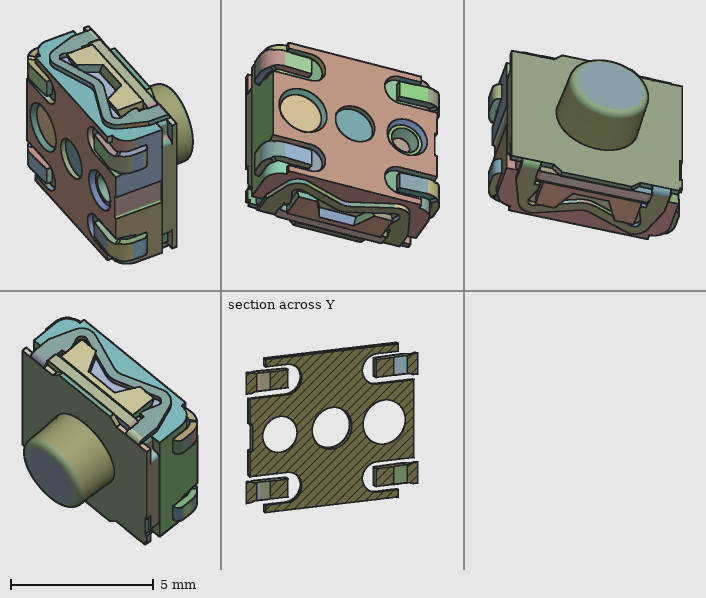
import cadquery as cq
import math


housing_half_x = 3.135
housing_half_z = 2.8
housing_back_y = 1.885
rim_half_x = 2.535
notch_depth = 0.09
notch_half_z = 0.49
notch_radius = 0.055

terminal_center_z = 1.99
terminal_outer_x = 3.4
terminal_thickness = terminal_outer_x - housing_half_x
terminal_root_y = 1.225
terminal_standoff = 0.1
terminal_bend_radius = 0.665
tab_end_x = 1.68
tab_rise = 0.06
terminal_half_width = 0.39
tab_half_width = 0.33
neck_start = 0.015
neck_end = 0.13
pocket_center_x = 1.715
pocket_center_z = 1.97
pocket_radius = 0.58
pocket_depth = 0.2
pocket_draft = 10.3

recess_depth = pocket_depth
locator_x = 1.99
left_recess_radius = 0.91
right_recess_radius = 0.76
center_recess_radius = 0.75
recess_narrowing = 0.12
locator_hole_radius = 0.51
locator_hole_floor_radius = 0.355
locator_hole_depth = 0.41

frame_half_x = 3.11
frame_back_y = 2.29
frame_relief_z = 1.94
frame_arc_radius = 0.155
frame_block_half_x = 2.08
frame_block_half_z = 3.09
frame_block_radius = 0.135

sheet = 0.19
cover_back_y = frame_back_y + sheet
lip_half_z = 3.115
lip_half_x = 1.27
side_cut_depth = 0.095
side_cut_start_z = 1.205
side_tab_start_z = 2.19
side_tab_end_z = 2.65
clip_half_x = 2.705
clip_shoulder_y = 1.58
clip_slope = 20
clip_inner_half_x = 2.03
clip_step_half_x = 1.84
clip_step_y = 1.38
clip_lower_apex_y = 0.9
clip_upper_apex_y = 1.26
clip_lower_apex_radius = 0.545
clip_upper_apex_radius = 0.85
clip_outer_elbow_radius = 0.545
clip_inner_elbow_radius = 0.205
clip_bend_radius = 0.24
clip_root = 0.07

hook_half_x = 1.795
hook_half_z = 3.15
hook_tip_y = 0.83
hook_root_y = 0.945
hook_window_y = 1.645
hook_window_root_y = 1.545
hook_window_half_x = 0.65
hook_mouth_half_x = 1.095

button_end_y = 4.195
button_base_radius = 1.49
button_end_radius = 1.435
button_round = 0.24

clearance = 0.34


def side_mirrored(shape):
    """Shape plus its copy on the other side in X."""
    return shape.union(shape.mirror("YZ"))


def end_mirrored(shape):
    """Shape plus its copy at the other end in Z."""
    return shape.union(shape.mirror("XY"))


def box_between(x0, x1, y0, y1, z0, z1):
    return cq.Workplane("XY").box(x1 - x0, y1 - y0, z1 - z0, centered=False).translate((x0, y0, z0))


def tapered_disc(x, start_y, depth, start_radius, end_radius):
    """Round frustum along +Y on the line z = 0."""
    taper = math.degrees(math.atan2(start_radius - end_radius, depth))
    plane = cq.Workplane("ZX", origin=(x, start_y, 0))
    return plane.circle(start_radius).extrude(depth, taper=taper)


def terminal_pocket():
    """Drafted slot around one terminal that follows the rounded housing corner."""
    end_x = terminal_outer_x + 2 * clearance
    corner_radius = housing_half_x - rim_half_x
    corner_y = pocket_depth + corner_radius
    slot = (
        cq.Workplane("ZX")
        .moveTo(pocket_center_z - pocket_radius, -end_x)
        .lineTo(pocket_center_z - pocket_radius, -pocket_center_x)
        .threePointArc(
            (pocket_center_z, pocket_radius - pocket_center_x),
            (pocket_center_z + pocket_radius, -pocket_center_x),
        )
        .lineTo(pocket_center_z + pocket_radius, -end_x)
        .close()
        .extrude(corner_y, taper=pocket_draft)
    )
    corner = box_between(-end_x, -rim_half_x, 0, corner_y, pocket_center_z, housing_half_z + clearance)
    diagonal = corner_radius * math.sqrt(0.5)
    depth_limit = (
        cq.Workplane("XY")
        .lineTo(0, pocket_depth)
        .lineTo(-rim_half_x, pocket_depth)
        .threePointArc((-rim_half_x - diagonal, corner_y - diagonal), (-housing_half_x, corner_y))
        .lineTo(-end_x, corner_y)
        .lineTo(-end_x, 0)
        .close()
        .extrude(housing_half_z + clearance)
    )
    return slot.union(corner).intersect(depth_limit)


def side_notch():
    """Shallow rounded notch through the right side of the housing."""
    return box_between(
        housing_half_x - notch_depth, housing_half_x + clearance,
        -clearance, housing_back_y,
        -notch_half_z, notch_half_z,
    ).edges("|Y and <X").fillet(notch_radius)


def make_housing():
    body = box_between(
        -housing_half_x, housing_half_x, 0, housing_back_y, -housing_half_z, housing_half_z
    )
    body = body.cut(end_mirrored(side_mirrored(terminal_pocket())))
    body = body.cut(tapered_disc(
        -locator_x, 0, recess_depth, left_recess_radius, left_recess_radius - recess_narrowing))
    body = body.cut(tapered_disc(
        locator_x, 0, recess_depth, right_recess_radius, right_recess_radius - recess_narrowing))
    body = body.cut(tapered_disc(
        locator_x, recess_depth, locator_hole_depth, locator_hole_radius, locator_hole_floor_radius))
    body = body.cut(tapered_disc(0, 0, recess_depth, center_recess_radius, center_recess_radius))
    return body.cut(side_notch())


def make_terminal():
    """Strip leaving the left side, bent around the corner and folded under the housing."""
    inner_radius = terminal_bend_radius - terminal_thickness
    bend_x = -terminal_outer_x + terminal_bend_radius
    bend_y = terminal_bend_radius - terminal_standoff
    diagonal = math.sqrt(0.5)
    root_drop = terminal_thickness * (1 - diagonal)
    tab_y = -terminal_standoff
    strip = (
        cq.Workplane("XY")
        .moveTo(-housing_half_x, terminal_root_y)
        .threePointArc(
            (-terminal_outer_x + root_drop, terminal_root_y - root_drop),
            (-terminal_outer_x, terminal_root_y - terminal_thickness),
        )
        .lineTo(-terminal_outer_x, bend_y)
        .threePointArc(
            (bend_x - terminal_bend_radius * diagonal, bend_y - terminal_bend_radius * diagonal),
            (bend_x, tab_y),
        )
        .lineTo(-tab_end_x, tab_y + tab_rise)
        .lineTo(-tab_end_x, tab_y + tab_rise + terminal_thickness)
        .lineTo(bend_x, tab_y + terminal_thickness)
        .threePointArc(
            (bend_x - inner_radius * diagonal, bend_y - inner_radius * diagonal),
            (-housing_half_x, bend_y),
        )
        .close()
        .extrude(terminal_half_width, both=True)
    )
    reach = terminal_outer_x / 2
    bend_plane = cq.Plane(origin=(bend_x, bend_y, 0), xDir=(1, -1, 0), normal=(-1, -1, 0))
    necked_outline = (
        cq.Workplane(bend_plane)
        .polyline([
            (-reach, -terminal_half_width),
            (neck_start, -terminal_half_width),
            (neck_end, -tab_half_width),
            (reach, -tab_half_width),
            (reach, tab_half_width),
            (neck_end, tab_half_width),
            (neck_start, terminal_half_width),
            (-reach, terminal_half_width),
        ])
        .close()
        .extrude(reach, both=True)
    )
    return strip.intersect(necked_outline).translate((0, 0, terminal_center_z))


def frame_corner_relief():
    """Stepped clearance with rounded shoulders in the upper left corner of the frame."""
    r = frame_arc_radius
    diagonal = r * math.sqrt(0.5)
    edge_x = -frame_half_x
    shoulder_z = frame_relief_z
    wall_x = edge_x + 2 * r
    end_arc_z = housing_half_z - r
    return (
        cq.Workplane("XZ", origin=(0, housing_back_y, 0))
        .moveTo(edge_x, shoulder_z)
        .threePointArc((edge_x + r - diagonal, shoulder_z + diagonal), (edge_x + r, shoulder_z + r))
        .threePointArc((wall_x - r + diagonal, shoulder_z + 2 * r - diagonal), (wall_x, shoulder_z + 2 * r))
        .lineTo(wall_x, end_arc_z)
        .threePointArc((wall_x + r - diagonal, end_arc_z + diagonal), (wall_x + r, housing_half_z))
        .lineTo(edge_x, housing_half_z)
        .close()
        .extrude(-(frame_back_y - housing_back_y))
    )


def make_frame():
    frame = box_between(
        -frame_half_x, frame_half_x, housing_back_y, frame_back_y, -housing_half_z, housing_half_z
    )
    frame = frame.cut(end_mirrored(side_mirrored(frame_corner_relief())))
    block = box_between(
        -frame_block_half_x, frame_block_half_x, housing_back_y, frame_back_y,
        -frame_block_half_z, frame_block_half_z,
    ).edges("|Y").fillet(frame_block_radius)
    return frame.union(block)


def make_cover_plate():
    """Flat back plate with a bevelled lip at each end and cut-outs on its left edge."""
    plate = box_between(
        -frame_half_x, frame_half_x, frame_back_y, cover_back_y, -housing_half_z, housing_half_z
    )
    lip_base_half_x = lip_half_x + lip_half_z - housing_half_z
    lip = (
        cq.Workplane("XZ", origin=(0, frame_back_y, 0))
        .polyline([
            (-lip_base_half_x, housing_half_z),
            (-lip_half_x, lip_half_z),
            (lip_half_x, lip_half_z),
            (lip_base_half_x, housing_half_z),
        ])
        .close()
        .extrude(-sheet)
    )
    side_cut = box_between(
        -frame_half_x, -frame_half_x + side_cut_depth, frame_back_y, cover_back_y,
        -side_tab_start_z, -side_cut_start_z,
    )
    corner_cut = box_between(
        -frame_half_x, -frame_half_x + side_cut_depth, frame_back_y, cover_back_y,
        -housing_half_z, -side_tab_end_z,
    )
    return plate.union(end_mirrored(lip)).cut(side_cut).cut(corner_cut)


def zigzag_area(half_outline, lean, apex_y, elbow_radius, apex_radius, top_y):
    """Prism above a zigzag line: sloping arms, rounded elbows and a central peak.

    half_outline lists the left arm from the top down to where it starts to lean.
    lean is the angle of the left arm below that point, positive toward the centre.
    """
    slope = math.tan(math.radians(clip_slope))
    arm_x, arm_y = half_outline[-1]
    arm_slope = math.tan(math.radians(lean))
    elbow_x = (arm_x + arm_slope * (arm_y - apex_y)) / (1 + arm_slope * slope)
    elbow_y = apex_y + slope * elbow_x
    left = [(half_outline[0][0], top_y)] + half_outline + [(elbow_x, elbow_y)]
    right = [(-x, y) for x, y in reversed(left)]
    prism = (
        cq.Workplane("XY", origin=(0, 0, housing_half_z - clip_root))
        .polyline(left + [(0, apex_y)] + right)
        .close()
        .extrude(sheet + clip_root)
    )
    roundings = [
        (elbow_x, elbow_y, elbow_radius),
        (-elbow_x, elbow_y, elbow_radius),
        (0, apex_y, apex_radius),
    ]
    for x, y, radius in roundings:
        corner = cq.selectors.NearestToPointSelector((x, y, housing_half_z + sheet / 2))
        prism = prism.edges("|Z").edges(corner).fillet(radius)
    return prism


def make_clip():
    """Zigzag spring clip over the +Z end, folded from the cover plate."""
    outer = zigzag_area(
        [(-clip_half_x, clip_shoulder_y)],
        clip_slope, clip_lower_apex_y, clip_outer_elbow_radius, clip_lower_apex_radius,
        cover_back_y,
    ).edges("|X and >Y and >Z").fillet(clip_bend_radius)
    inner = zigzag_area(
        [
            (-clip_inner_half_x, clip_shoulder_y),
            (-clip_step_half_x, clip_shoulder_y),
            (-clip_step_half_x, clip_step_y),
        ],
        -clip_slope, clip_upper_apex_y, clip_inner_elbow_radius, clip_upper_apex_radius,
        cover_back_y + clearance,
    )
    inside_housing = box_between(
        -clip_half_x, clip_half_x, 0, cover_back_y, housing_half_z - clip_root, housing_half_z
    )
    return outer.cut(inner).cut(inside_housing)


def drafted_hook_slab(tip_y, root_y):
    """Full-width slab up to the frame; its lower face runs from tip_y outside to root_y at the housing."""
    return (
        cq.Workplane("YZ")
        .polyline([
            (housing_back_y, housing_half_z),
            (housing_back_y, hook_half_z),
            (tip_y, hook_half_z),
            (root_y, housing_half_z),
        ])
        .close()
        .extrude(hook_half_x, both=True)
    )


def make_hook():
    """Clip retaining block with a flared window in its lower edge."""
    window = (
        cq.Workplane("XY", origin=(0, 0, housing_half_z))
        .polyline([
            (-hook_window_half_x, hook_window_y),
            (-hook_mouth_half_x, hook_tip_y),
            (hook_mouth_half_x, hook_tip_y),
            (hook_window_half_x, hook_window_y),
        ])
        .close()
        .extrude(hook_half_z - housing_half_z)
    )
    above_window = drafted_hook_slab(hook_window_y, hook_window_root_y)
    block = drafted_hook_slab(hook_tip_y, hook_root_y)
    return block.cut(window.cut(above_window))


def make_button():
    button = tapered_disc(
        0, cover_back_y, button_end_y - cover_back_y, button_base_radius, button_end_radius
    )
    return button.faces(">Y").edges().fillet(button_round)


result = make_housing()
result = result.union(make_frame())
result = result.union(make_cover_plate())
result = result.union(end_mirrored(make_clip()))
result = result.union(end_mirrored(make_hook()))
result = result.union(make_button())
result = result.union(end_mirrored(side_mirrored(make_terminal())))